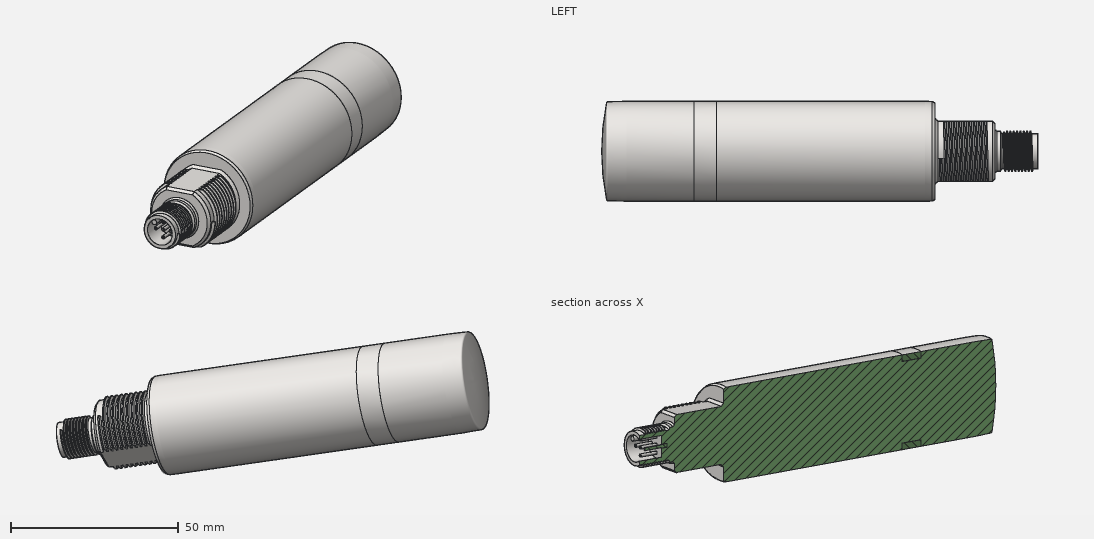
import cadquery as cq
import math


PLUG_LENGTH = 12.8
NOSE_LENGTH = 18.0
HOUSING_FRONT = PLUG_LENGTH + NOSE_LENGTH
RIM_BACK = HOUSING_FRONT + 2.9
RING_FRONT = 96.2
RING_BACK = 103.0
SEGMENT_LENGTH = 20.0
SEGMENT_FRONT = RING_FRONT - SEGMENT_LENGTH
CAP_FRONT = RING_BACK + SEGMENT_LENGTH
CAP_SHOULDER = 128.55
DOME_EDGE = 129.15
TOTAL_LENGTH = 130.6

TOWER_RADIUS = 15.0
RING_THICKNESS = 2.0
RIM_RADIUS = 14.95
RIM_CHAMFER_LENGTH = 0.9
RIM_CHAMFER_DEPTH = 0.5
CAP_SHOULDER_RADIUS = 14.85
DOME_RADIUS = 14.4
SHOULDER_BULGE = 0.1

NOSE_ROOT_RADIUS = 10.15
NOSE_CREST_RADIUS = 11.0
NOSE_PITCH = 1.5
NOSE_THREAD_START = 14.8
NOSE_THREAD_LENGTH = 14.2
NOSE_FLAT_HEIGHT = 9.05
NOSE_CHAMFER = 0.8
NOSE_FLARE = 0.85

PLUG_ROOT_RADIUS = 5.3
PLUG_CREST_RADIUS = 6.0
PLUG_PITCH = 1.0
PLUG_THREAD_START = 1.5
PLUG_THREAD_LENGTH = 8.7
PLUG_NECK_FRONT = 11.2
PLUG_NECK_TAPER = 0.4
PLUG_FOOT = 0.5
SOCKET_RADIUS = 4.15
SOCKET_DEPTH = 8.0
KEY_RADIUS = 0.8
KEY_CENTRE_RADIUS = 3.4
KEY_ANGLE = 135.0
KEY_SETBACK = 1.0

PIN_RADIUS = 0.5
PIN_TIP_CHAMFER = 0.2
PIN_CIRCLE_RADIUS = 2.5
OUTER_PIN_COUNT = 4
PIN_TIP = 2.0
PIN_SEAT = 2.0

RIDGE_BASE = 0.8
RIDGE_TIP = 0.24
RIDGE_OVERLAP = 0.15


def cross_section(station):
    """Work plane across the axis that extrudes toward +Y (local x = +X, local y = -Z)."""
    return cq.Workplane("XZ", origin=(0, station, 0)).transformed(rotate=(180, 0, 0))


def cylinder(radius, start, end):
    return cross_section(start).circle(radius).extrude(end - start)


def revolved(outline):
    """Turn a closed outline in the XY plane about the Y axis."""
    return outline.close().revolve(360, (0, 0, 0), (0, 1, 0))


def thread_ridge(root, crest, pitch, start, length):
    """Right-hand helical ridge about the Y axis, sunk slightly into its root cylinder."""
    foot = root - RIDGE_OVERLAP
    half_base = RIDGE_BASE * pitch / 2
    half_tip = RIDGE_TIP * pitch / 2
    profile = (
        cq.Workplane("XZ")
        .polyline([(foot, -half_base), (crest, -half_tip), (crest, half_tip), (foot, half_base)])
        .close()
    )
    helix = cq.Workplane(obj=cq.Wire.makeHelix(pitch, length, root))
    ridge = profile.sweep(helix, isFrenet=True)
    return ridge.rotate((0, 0, 0), (1, 0, 0), -90).translate((0, start, 0))


def make_front_barrel():
    """Barrel from the chamfered front rim to the start of the light segment."""
    return revolved(
        cq.Workplane("XY").polyline([
            (0, HOUSING_FRONT),
            (TOWER_RADIUS - RIM_CHAMFER_DEPTH, HOUSING_FRONT),
            (RIM_RADIUS, HOUSING_FRONT + RIM_CHAMFER_LENGTH),
            (TOWER_RADIUS, RIM_BACK),
            (TOWER_RADIUS, SEGMENT_FRONT),
            (0, SEGMENT_FRONT),
        ])
    )


def make_light_barrel():
    """Both light segments, with the domed cap on the back."""
    dome_height = TOTAL_LENGTH - DOME_EDGE
    sphere_radius = (DOME_RADIUS**2 + dome_height**2) / (2 * dome_height)
    half_angle = math.asin(DOME_RADIUS / sphere_radius) / 2
    dome_middle = (
        sphere_radius * math.sin(half_angle),
        TOTAL_LENGTH - sphere_radius * (1 - math.cos(half_angle)),
    )
    shoulder_middle = (
        (CAP_SHOULDER_RADIUS + DOME_RADIUS) / 2 + SHOULDER_BULGE,
        (CAP_SHOULDER + DOME_EDGE) / 2 + SHOULDER_BULGE,
    )
    return revolved(
        cq.Workplane("XY")
        .moveTo(0, SEGMENT_FRONT)
        .lineTo(TOWER_RADIUS, SEGMENT_FRONT)
        .lineTo(TOWER_RADIUS, CAP_FRONT)
        .tangentArcPoint((CAP_SHOULDER_RADIUS, CAP_SHOULDER), relative=False)
        .threePointArc(shoulder_middle, (DOME_RADIUS, DOME_EDGE))
        .threePointArc(dome_middle, (0, TOTAL_LENGTH))
    )


def nose_outline(station):
    """Round section with a flat above and a flat below the axis."""
    half_width = math.sqrt(NOSE_ROOT_RADIUS**2 - NOSE_FLAT_HEIGHT**2)
    return (
        cross_section(station)
        .moveTo(-half_width, -NOSE_FLAT_HEIGHT)
        .lineTo(half_width, -NOSE_FLAT_HEIGHT)
        .threePointArc((NOSE_ROOT_RADIUS, 0), (half_width, NOSE_FLAT_HEIGHT))
        .lineTo(-half_width, NOSE_FLAT_HEIGHT)
        .threePointArc((-NOSE_ROOT_RADIUS, 0), (-half_width, -NOSE_FLAT_HEIGHT))
        .close()
    )


def make_nose():
    """Threaded nose, chamfered at its front and flared where it meets the barrel."""
    core = cylinder(NOSE_ROOT_RADIUS, PLUG_LENGTH, HOUSING_FRONT)
    core = core.faces("<Y").chamfer(NOSE_CHAMFER)
    ridge = thread_ridge(
        NOSE_ROOT_RADIUS, NOSE_CREST_RADIUS, NOSE_PITCH, NOSE_THREAD_START, NOSE_THREAD_LENGTH
    )
    between_flats = (
        cross_section(PLUG_LENGTH)
        .rect(2 * TOWER_RADIUS, 2 * NOSE_FLAT_HEIGHT)
        .extrude(NOSE_LENGTH)
        .faces("<Y")
        .edges("|X")
        .chamfer(NOSE_CHAMFER)
    )
    flare = nose_outline(HOUSING_FRONT - NOSE_FLARE).extrude(NOSE_FLARE, taper=-45)
    return core.union(ridge).intersect(between_flats).union(flare)


def make_plug(pins):
    """Threaded plug with a keyed socket and a seat for each pin in the socket floor."""
    core = revolved(
        cq.Workplane("XY").polyline([
            (0, 0),
            (PLUG_ROOT_RADIUS, 0),
            (PLUG_ROOT_RADIUS, PLUG_NECK_FRONT - PLUG_NECK_TAPER),
            (PLUG_CREST_RADIUS, PLUG_NECK_FRONT),
            (PLUG_CREST_RADIUS, PLUG_LENGTH - PLUG_FOOT),
            (PLUG_CREST_RADIUS + PLUG_FOOT, PLUG_LENGTH),
            (0, PLUG_LENGTH),
        ])
    )
    ridge = thread_ridge(
        PLUG_ROOT_RADIUS, PLUG_CREST_RADIUS, PLUG_PITCH, PLUG_THREAD_START, PLUG_THREAD_LENGTH
    )
    angle = math.radians(KEY_ANGLE)
    key = cylinder(KEY_RADIUS, KEY_SETBACK, SOCKET_DEPTH).translate(
        (KEY_CENTRE_RADIUS * math.cos(angle), 0, KEY_CENTRE_RADIUS * math.sin(angle))
    )
    socket = cylinder(SOCKET_RADIUS, 0, SOCKET_DEPTH)
    core = core.cut(socket).union(key)
    for pin in pins:
        core = core.cut(pin)
    return core.union(ridge)


def make_housing(ring, pins):
    """Whole housing, with a groove for the ring and a seat for each pin."""
    barrel = make_front_barrel().union(make_light_barrel()).cut(ring)
    plug = make_plug(pins)
    return barrel.union(make_nose()).union(plug)


def make_ring():
    """Ring flush with the barrel, between the two light segments."""
    core = cylinder(TOWER_RADIUS - RING_THICKNESS, RING_FRONT, RING_BACK)
    return cylinder(TOWER_RADIUS, RING_FRONT, RING_BACK).cut(core)


def make_pin(x, z):
    pin = cylinder(PIN_RADIUS, PIN_TIP, SOCKET_DEPTH + PIN_SEAT)
    return pin.faces("<Y").chamfer(PIN_TIP_CHAMFER).translate((x, 0, z))


def make_pins():
    """One pin on the axis and the others evenly spaced on a circle around it."""
    pins = [make_pin(0, 0)]
    for index in range(OUTER_PIN_COUNT):
        angle = 2 * math.pi * index / OUTER_PIN_COUNT
        pins.append(make_pin(PIN_CIRCLE_RADIUS * math.cos(angle), PIN_CIRCLE_RADIUS * math.sin(angle)))
    return pins


ring = make_ring()
pins = make_pins()
housing = make_housing(ring, pins)

bodies = [housing, ring, *pins]
result = cq.Compound.makeCompound([body.solids().val() for body in bodies])